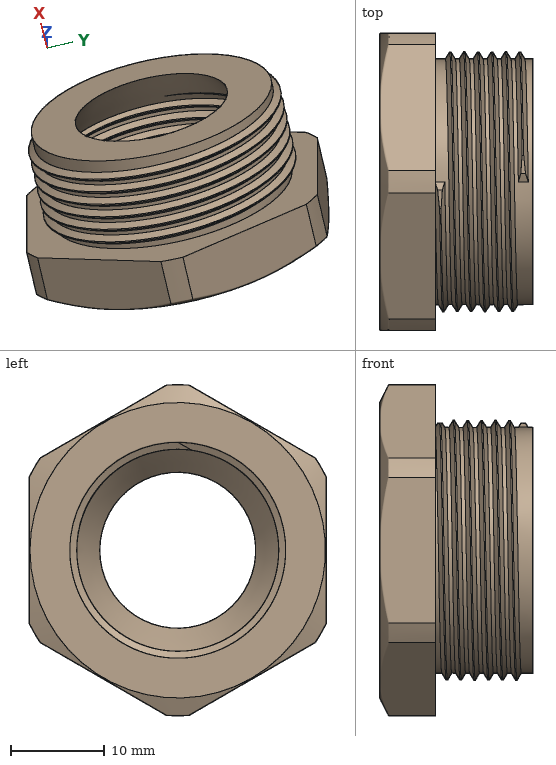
import cadquery as cq
import math

total_length = 16.5
hex_length = 6.02
hex_across_flats = 32.0
hex_across_corners = 35.62
hex_chamfer_angle = 27.0
hex_face_diameter = 31.77
hex_edge_radius = 0.18
bore_edge_radius = 0.1

bore_diameter = 23.22
bore_depth = 11.95
outlet_diameter = 16.75

core_diameter = 26.45
pitch = 1.5
ridge_height = 0.75
ridge_base_width = 1.07
ridge_crest_width = 0.15
root_overlap = 0.1
outer_thread_start = 6.5
outer_thread_turns = 6
inner_thread_start = 1.1
inner_thread_turns = 8

runout_step_length = 0.9
runout_step_height = 0.43
runout_length = 2.85
inner_runout_length = 1.5


def along_x(shape):
    """Turn a shape built about +Z so that it lies about +X, with its local +X side facing +Z."""
    return shape.rotate((0, 0, 0), (0, 0, 1), 180).rotate((0, 0, 0), (0, 1, 0), 90)


def hex_head():
    """Hexagon with rounded corners and a conical chamfer on its outer face."""
    prism = (
        cq.Workplane("YZ")
        .polygon(6, hex_across_flats, circumscribed=True)
        .extrude(hex_length)
    )
    face_radius = hex_face_diameter / 2
    corner_radius = hex_across_corners / 2
    chamfer_length = (corner_radius - face_radius) * math.tan(math.radians(hex_chamfer_angle))
    turned_blank = (
        cq.Workplane("XY")
        .polyline(
            [
                (0, 0),
                (0, face_radius),
                (chamfer_length, corner_radius),
                (hex_length, corner_radius),
                (hex_length, 0),
            ]
        )
        .close()
        .revolve(360, (0, 0, 0), (1, 0, 0))
    )
    head = prism.intersect(turned_blank)
    chamfer_rim = head.faces("%CONE").edges(cq.selectors.BoxSelector(
        (0.005, -corner_radius, -corner_radius),
        (hex_length, corner_radius, corner_radius),
    ))
    return chamfer_rim.fillet(hex_edge_radius)


def helical_ridge(root_radius, height, start, turns):
    """Ridge on a cylinder, standing outward for a positive height and inward for a negative one."""
    overlap = math.copysign(root_overlap, height)
    flank_spread = (ridge_base_width - ridge_crest_width) / 2 * root_overlap / abs(height)
    half_root = ridge_base_width / 2 + flank_spread
    half_crest = ridge_crest_width / 2
    helix = cq.Wire.makeHelix(pitch, pitch * turns, root_radius)
    ridge = (
        cq.Workplane("XZ")
        .polyline(
            [
                (root_radius - overlap, -half_root),
                (root_radius + height, -half_crest),
                (root_radius + height, half_crest),
                (root_radius - overlap, half_root),
            ]
        )
        .close()
        .sweep(cq.Workplane(obj=helix), isFrenet=True)
    )
    return along_x(ridge).translate((start, 0, 0))


def runout_cutter(points, center):
    """Block that trims a ridge end; points are (Y, Z) and the block spans one pitch about center."""
    return (
        cq.Workplane("YZ")
        .polyline(points)
        .close()
        .extrude(pitch / 2, both=True)
        .translate((center, 0, 0))
    )


def outer_thread():
    root_radius = core_diameter / 2
    top = root_radius + 2 * ridge_height
    ridge = helical_ridge(root_radius, ridge_height, outer_thread_start, outer_thread_turns)
    end = outer_thread_start + pitch * outer_thread_turns
    for center, side in ((outer_thread_start, -1), (end, 1)):
        outline = [
            (0, root_radius),
            (side * runout_step_length, root_radius + runout_step_height),
            (side * runout_length, root_radius + runout_step_height),
            (side * runout_length, top),
            (0, top),
        ]
        ridge = ridge.cut(runout_cutter(outline, center))
    return ridge


def inner_thread():
    root_radius = bore_diameter / 2
    crest_radius = root_radius - ridge_height
    ridge = helical_ridge(root_radius, -ridge_height, inner_thread_start, inner_thread_turns)
    crest_z = math.sqrt(crest_radius**2 - inner_runout_length**2)
    outline = [
        (0, root_radius),
        (-inner_runout_length, crest_z),
        (0, crest_z),
    ]
    return ridge.cut(runout_cutter(outline, inner_thread_start))


def outlet_cone():
    """Ring of material that narrows the bore to the outlet; its outer part lies in the shank wall."""
    wall_radius = (bore_diameter + core_diameter) / 4
    return (
        cq.Workplane("XY")
        .polyline(
            [
                (bore_depth, wall_radius),
                (bore_depth, bore_diameter / 2),
                (total_length, outlet_diameter / 2),
                (total_length, wall_radius),
            ]
        )
        .close()
        .revolve(360, (0, 0, 0), (1, 0, 0))
    )


def opening():
    """Space inside the part: a straight bore less its thread and the narrowing outlet."""
    bore = cq.Workplane("YZ").circle(bore_diameter / 2).extrude(total_length)
    return bore.cut(inner_thread()).cut(outlet_cone())


shank = cq.Workplane("YZ").circle(core_diameter / 2).extrude(total_length)
body = hex_head().union(shank).union(outer_thread()).cut(opening())
bore_rim = body.faces("<X").edges(cq.selectors.RadiusNthSelector(0))
result = bore_rim.fillet(bore_edge_radius).solids()